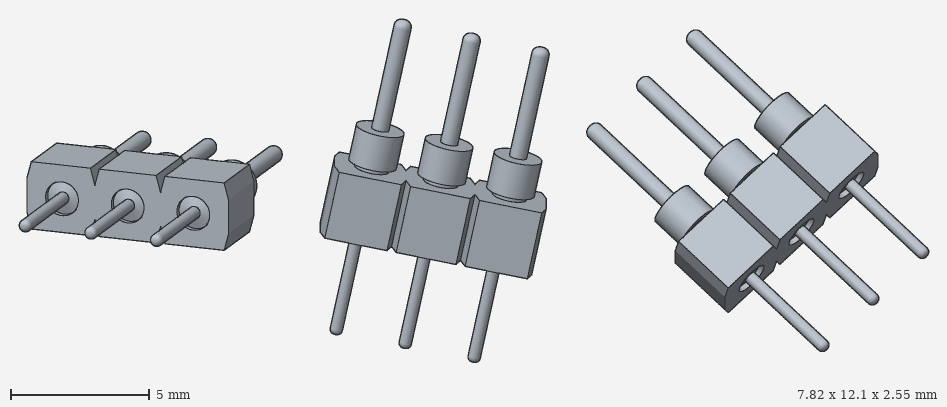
import cadquery as cq

PIN_COUNT = 3
PITCH = 2.55

BLOCK_LENGTH = 7.82
BLOCK_HEIGHT = 2.55
BLOCK_DEPTH = 2.55
BEVEL_WIDTH = 0.17
BEVEL_HEIGHT = 0.63

TAIL_DIAMETER = 0.46
BARREL_DIAMETER = 1.27
COLLAR_DIAMETER = 1.77
POST_DIAMETER = 0.64

OVERALL_DEPTH = 12.12
TAIL_LENGTH = 3.84
NECK_LENGTH = 0.19
COLLAR_LENGTH = 1.33
CONE_RECESS = 0.1
CONE_LENGTH = 0.12
TAIL_TIP_RADIUS = 0.18
POST_TIP_RADIUS = 0.25

TAIL_END = -TAIL_LENGTH
CONE_BASE = CONE_RECESS + CONE_LENGTH
COLLAR_FRONT = BLOCK_DEPTH + NECK_LENGTH
COLLAR_BACK = COLLAR_FRONT + COLLAR_LENGTH
POST_END = OVERALL_DEPTH - TAIL_LENGTH

pin_positions = [(i - (PIN_COUNT - 1) / 2) * PITCH for i in range(PIN_COUNT)]


def make_block():
    """Block with bevelled ends, V notches between pins and a bore per pin."""
    half_length = BLOCK_LENGTH / 2
    half_height = BLOCK_HEIGHT / 2
    shoulder = half_height - BEVEL_HEIGHT

    outline = [
        (-half_length, -shoulder),
        (-half_length, shoulder),
        (-half_length + BEVEL_WIDTH, half_height),
        (half_length - BEVEL_WIDTH, half_height),
        (half_length, shoulder),
        (half_length, -shoulder),
        (half_length - BEVEL_WIDTH, -half_height),
        (-half_length + BEVEL_WIDTH, -half_height),
    ]
    block = cq.Workplane("XZ").polyline(outline).close().extrude(-BLOCK_DEPTH)

    for pin_x in pin_positions[:-1]:
        notch_x = pin_x + PITCH / 2
        for side in (-1, 1):
            notch = (
                cq.Workplane("XZ")
                .moveTo(notch_x - BEVEL_WIDTH, side * half_height)
                .lineTo(notch_x, side * shoulder)
                .lineTo(notch_x + BEVEL_WIDTH, side * half_height)
                .close()
                .extrude(-BLOCK_DEPTH)
            )
            block = block.cut(notch)

    bores = (
        cq.Workplane("XZ")
        .pushPoints([(pin_x, 0) for pin_x in pin_positions])
        .circle(BARREL_DIAMETER / 2)
        .extrude(-BLOCK_DEPTH)
    )
    return block.cut(bores)


def make_pin():
    """Turned pin about the Y axis: tail, shoulder cone, barrel, collar, post."""
    tail = TAIL_DIAMETER / 2
    barrel = BARREL_DIAMETER / 2
    collar = COLLAR_DIAMETER / 2
    post = POST_DIAMETER / 2

    pin = (
        cq.Workplane("XY")
        .moveTo(0, TAIL_END)
        .lineTo(tail - TAIL_TIP_RADIUS, TAIL_END)
        .radiusArc((tail, TAIL_END + TAIL_TIP_RADIUS), -TAIL_TIP_RADIUS)
        .lineTo(tail, CONE_RECESS)
        .lineTo(barrel, CONE_BASE)
        .lineTo(barrel, COLLAR_FRONT)
        .lineTo(collar, COLLAR_FRONT)
        .lineTo(collar, COLLAR_BACK)
        .lineTo(post, COLLAR_BACK)
        .lineTo(post, POST_END - POST_TIP_RADIUS)
        .radiusArc((post - POST_TIP_RADIUS, POST_END), -POST_TIP_RADIUS)
        .lineTo(0, POST_END)
        .close()
    )
    return pin.revolve(360, (0, 0, 0), (0, 1, 0))


result = make_block()
pin = make_pin()
for pin_x in pin_positions:
    result = result.union(pin.translate((pin_x, 0, 0)))